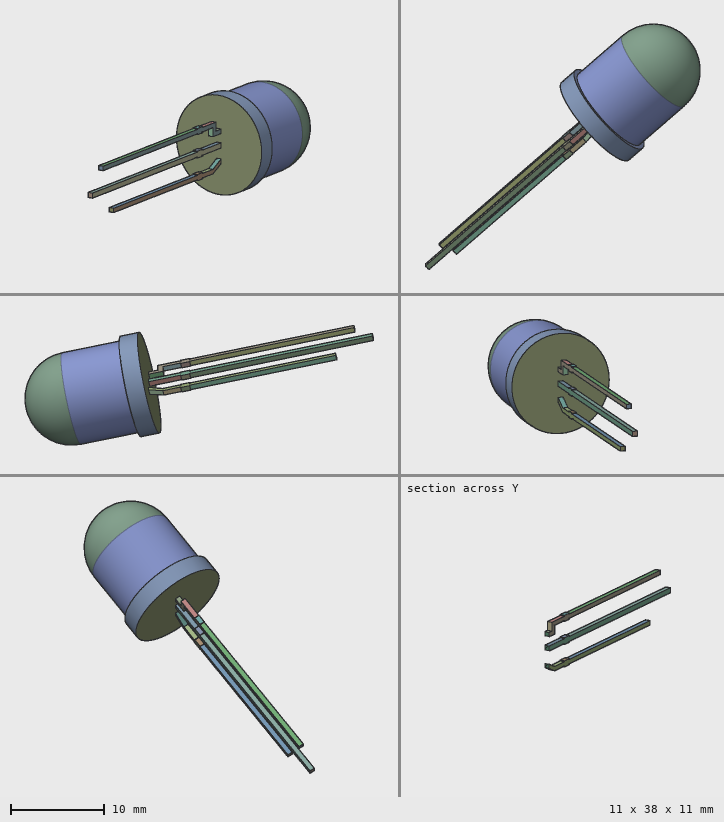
import cadquery as cq

overall_length = 38.0

lens_diameter = 10.0
flange_diameter = 11.0
flange_thickness = 2.0
body_length = 13.5
lens_radius = lens_diameter / 2
flange_radius = flange_diameter / 2
dome_start = body_length - lens_radius

lead_width = 0.57
middle_thickness = 0.57
outer_thickness = 0.5
lead_pitch = 2.55
middle_length = overall_length - body_length
length_step = 2.0
upper_length = middle_length - length_step
lower_length = upper_length - length_step

upper_exit_height = 1.55
jog_start = 1.0
jog_thickness = 0.57
lower_exit_height = 1.75
slant_length = 1.55

collar_start = 3.5
collar_length = 1.0
collar_overhang = 0.1


def make_body():
    """Revolve the flange, cylinder and dome about the Y axis."""
    dome_middle = lens_radius * 0.5 ** 0.5
    return (
        cq.Workplane("XY")
        .lineTo(flange_radius, 0)
        .lineTo(flange_radius, flange_thickness)
        .lineTo(lens_radius, flange_thickness)
        .lineTo(lens_radius, dome_start)
        .threePointArc((dome_middle, dome_start + dome_middle), (0, body_length))
        .close()
        .revolve(360, (0, 0), (0, 1))
    )


def extrude_profile(points):
    """Extrude a closed (Y, Z) outline to the lead width, centred on X = 0."""
    return cq.Workplane("YZ").polyline(points).close().extrude(lead_width / 2, both=True)


def make_bar(start, end, height, thickness):
    """Straight bar between two distances below the seat, centred at a height in Z."""
    bottom = height - thickness / 2
    top = height + thickness / 2
    return extrude_profile([(-start, bottom), (-end, bottom), (-end, top), (-start, top)])


def make_collar(height, thickness):
    return make_bar(collar_start, collar_start + collar_length, height, thickness + 2 * collar_overhang)


def make_middle_lead():
    return make_bar(0, middle_length, 0, middle_thickness).union(make_collar(0, middle_thickness))


def make_upper_lead():
    """Lead with a square step outward from its exit height to the pitch."""
    jog_end = jog_start + jog_thickness
    jog_bottom = upper_exit_height - outer_thickness / 2
    jog_top = lead_pitch + outer_thickness / 2
    jog_height = jog_top - jog_bottom
    exit_bar = make_bar(0, jog_end, upper_exit_height, outer_thickness)
    jog = make_bar(jog_start, jog_end, jog_bottom + jog_height / 2, jog_height)
    straight = make_bar(jog_start, upper_length, lead_pitch, outer_thickness)
    return exit_bar.union(jog).union(straight).union(make_collar(lead_pitch, outer_thickness))


def make_lower_lead():
    """Lead that slants outward from its exit height to the pitch."""
    half = outer_thickness / 2
    slanted = extrude_profile([
        (0, -lower_exit_height - half),
        (-slant_length, -lead_pitch - half),
        (-lower_length, -lead_pitch - half),
        (-lower_length, -lead_pitch + half),
        (-slant_length, -lead_pitch + half),
        (0, -lower_exit_height + half),
    ])
    return slanted.union(make_collar(-lead_pitch, outer_thickness))


result = make_body()
for lead in (make_middle_lead(), make_upper_lead(), make_lower_lead()):
    result = result.union(lead)